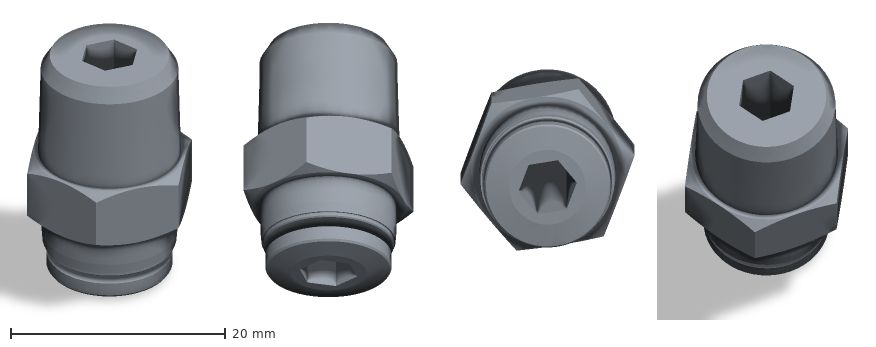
import cadquery as cq
import math

TOTAL_HEIGHT = 23.4
COLLAR_CHAMFER_BOTTOM = 0.4
COLLAR_RIM_BOTTOM = 0.6
COLLAR_TOP = 1.9
SLEEVE_BOTTOM = 2.8
SLEEVE_BEVEL_TOP = 2.92
SLEEVE_STEP = 3.28
SLEEVE_TAPER_TOP = 4.25
NUT_BOTTOM = 6.93
NUT_HEIGHT = 5.95
NUT_TOP = NUT_BOTTOM + NUT_HEIGHT
THREAD_CHAMFER_HEIGHT = 1.4

COLLAR_FACE_DIAMETER = 7.15
COLLAR_CHAMFER_DIAMETER = 11.51
COLLAR_DIAMETER = 11.8
NECK_DIAMETER = 8.35
NECK_FILLET = 0.4
SLEEVE_END_DIAMETER = 12.03
SLEEVE_RING_DIAMETER = 12.25
SLEEVE_STEP_DIAMETER = 12.55
SLEEVE_DIAMETER = 12.7
THREAD_BASE_DIAMETER = 13.35
THREAD_END_DIAMETER = 12.87
THREAD_FACE_DIAMETER = 11.16

NUT_ACROSS_FLATS = 14.3
NUT_CHAMFER_ANGLE = 30.0
SOCKET_ACROSS_FLATS = 4.8


def hexagonal_prism(across_flats, bottom, height):
    """Upright hexagonal prism with two flats facing along X."""
    across_corners = across_flats / math.cos(math.radians(30))
    return (
        cq.Workplane("XY")
        .workplane(offset=bottom)
        .transformed(rotate=(0, 0, 90))
        .polygon(6, across_corners)
        .extrude(height)
    )


def revolve_profile(profile):
    """Close a half profile along the Z axis and spin it into a solid."""
    return profile.close().revolve(360, (0, 0, 0), (0, 1, 0))


def make_lower_body():
    """Release collar, neck and stepped sleeve, ending inside the nut."""
    neck_radius = NECK_DIAMETER / 2
    fillet_inset = NECK_FILLET * (1 - math.sqrt(0.5))
    fillet_middle = (neck_radius + fillet_inset, COLLAR_TOP + fillet_inset)
    profile = (
        cq.Workplane("XZ")
        .lineTo(COLLAR_FACE_DIAMETER / 2, 0)
        .lineTo(COLLAR_CHAMFER_DIAMETER / 2, COLLAR_CHAMFER_BOTTOM)
        .lineTo(COLLAR_DIAMETER / 2, COLLAR_RIM_BOTTOM)
        .lineTo(COLLAR_DIAMETER / 2, COLLAR_TOP)
        .lineTo(neck_radius + NECK_FILLET, COLLAR_TOP)
        .threePointArc(fillet_middle, (neck_radius, COLLAR_TOP + NECK_FILLET))
        .lineTo(neck_radius, SLEEVE_BOTTOM)
        .lineTo(SLEEVE_END_DIAMETER / 2, SLEEVE_BOTTOM)
        .lineTo(SLEEVE_RING_DIAMETER / 2, SLEEVE_BEVEL_TOP)
        .lineTo(SLEEVE_RING_DIAMETER / 2, SLEEVE_STEP)
        .lineTo(SLEEVE_STEP_DIAMETER / 2, SLEEVE_STEP)
        .lineTo(SLEEVE_DIAMETER / 2, SLEEVE_TAPER_TOP)
        .lineTo(SLEEVE_DIAMETER / 2, NUT_TOP)
        .lineTo(0, NUT_TOP)
    )
    return revolve_profile(profile)


def make_nut():
    """Hexagon whose corners are cut by a cone at both ends."""
    flat_radius = NUT_ACROSS_FLATS / 2
    corner_radius = flat_radius / math.cos(math.radians(30))
    corner_drop = (corner_radius - flat_radius) * math.tan(math.radians(NUT_CHAMFER_ANGLE))
    profile = (
        cq.Workplane("XZ")
        .moveTo(0, NUT_BOTTOM)
        .lineTo(flat_radius, NUT_BOTTOM)
        .lineTo(corner_radius, NUT_BOTTOM + corner_drop)
        .lineTo(corner_radius, NUT_TOP - corner_drop)
        .lineTo(flat_radius, NUT_TOP)
        .lineTo(0, NUT_TOP)
    )
    envelope = revolve_profile(profile)
    return hexagonal_prism(NUT_ACROSS_FLATS, NUT_BOTTOM, NUT_HEIGHT).intersect(envelope)


def make_threaded_end():
    """Plain tapered thread body with a chamfered end."""
    profile = (
        cq.Workplane("XZ")
        .moveTo(0, NUT_BOTTOM)
        .lineTo(THREAD_BASE_DIAMETER / 2, NUT_BOTTOM)
        .lineTo(THREAD_BASE_DIAMETER / 2, NUT_TOP)
        .lineTo(THREAD_END_DIAMETER / 2, TOTAL_HEIGHT - THREAD_CHAMFER_HEIGHT)
        .lineTo(THREAD_FACE_DIAMETER / 2, TOTAL_HEIGHT)
        .lineTo(0, TOTAL_HEIGHT)
    )
    return revolve_profile(profile)


socket = hexagonal_prism(SOCKET_ACROSS_FLATS, 0, TOTAL_HEIGHT)
result = make_lower_body().union(make_nut()).union(make_threaded_end()).cut(socket)